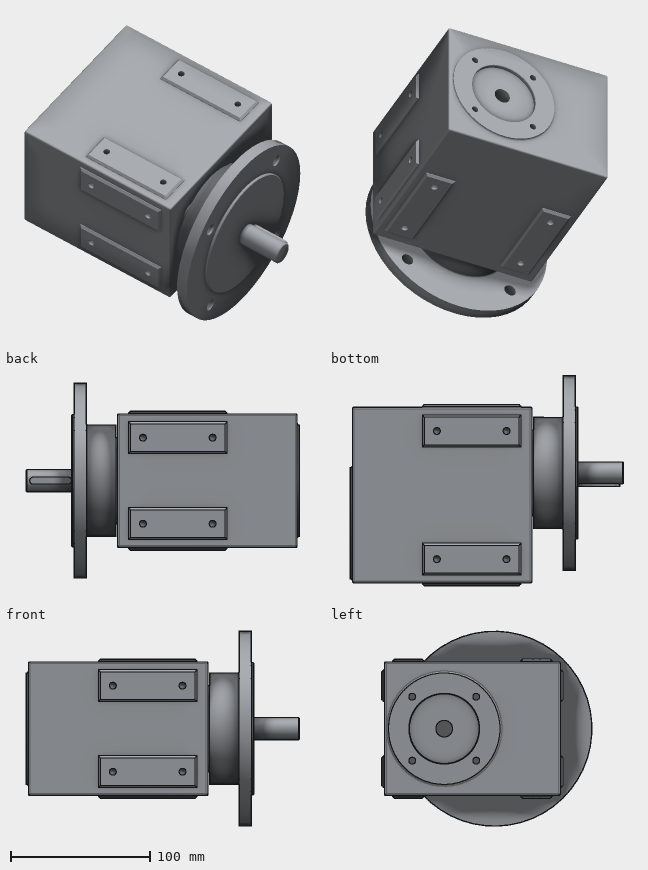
import cadquery as cq


housing_start = 1.5
housing_end = 130.5
housing_length = housing_end - housing_start
housing_width = 126.2
housing_height = 96.0
housing_center_y = 15.9
housing_edge_radius = 1.4

pad_center_x = 87.2
pad_length = 71.0
pad_width = 23.0
pad_height = 2.0
pad_chamfer = 1.5
pad_embed = 1.0
pad_spacing_across_width = 92.0
pad_spacing_across_height = 61.7
pad_hole_diameter = 4.9
pad_hole_spacing = 50.0
pad_hole_depth = 9.8
drill_tip_ratio = 0.3

input_center_y = 36.0
input_boss_diameter = 80.0
input_boss_fillet = 1.4
input_recess_diameter = 50.0
input_recess_depth = 3.0
input_recess_chamfer = 0.4
input_bore_diameter = 12.0
input_bore_depth = 19.6
input_hole_diameter = 4.9
input_hole_square = 45.9
input_hole_depth = 9.8
selection_margin = 0.2

spacer_side = 62.0
spacer_corner_radius = 8.0

neck_start = 131.7
neck_diameter = 80.0
neck_fillet = 1.0
flange_start = 152.9
flange_thickness = 8.6
flange_end = flange_start + flange_thickness
flange_diameter = 140.0
flange_hole_diameter = 9.0
flange_hole_square = 81.3
pilot_diameter = 95.0
pilot_thickness = 2.0
pilot_end = flange_end + pilot_thickness
pilot_chamfer = 0.5

shaft_end = 196.0
shaft_diameter = 16.0
shaft_chamfer = 0.5
key_start = pilot_end
key_length = 30.0
key_width = 5.0
key_top_y = 9.8


def cylinder_along_x(start, end, diameter, center_y=0):
    """Solid cylinder parallel to X, from start to end."""
    plane = cq.Workplane("YZ", origin=(start, center_y, 0))
    return plane.circle(diameter / 2).extrude(end - start)


def drill(plane, points, diameter, depth):
    """Drill bodies with conical tips; the plane normal points out of the material."""
    radius = diameter / 2
    profile = [(0, 0), (radius, 0), (radius, -depth), (0, -depth - drill_tip_ratio * diameter)]
    body = cq.Workplane("XZ").polyline(profile).close().revolve(360, (0, 0), (0, 1)).val()
    return plane.pushPoints(points).eachpoint(body, useLocalCoordinates=True)


def square_points(side, center=(0, 0)):
    """Corners of a square around center."""
    half = side / 2
    return [(center[0] + a * half, center[1] + b * half) for a in (-1, 1) for b in (-1, 1)]


def mounting_pad(plane, offset):
    """Chamfered pad and its two drills; plane x is along X, offset is along plane y."""
    blank = plane.workplane(offset=-pad_embed).center(0, offset)
    pad = blank.rect(pad_length, pad_width).extrude(pad_embed + pad_height)
    pad = pad.faces(cq.DirectionMinMaxSelector(plane.plane.zDir, True)).chamfer(pad_chamfer)
    points = [(side * pad_hole_spacing / 2, offset) for side in (-1, 1)]
    drills = drill(plane.workplane(offset=pad_height), points, pad_hole_diameter, pad_hole_depth)
    return pad, drills


housing_center_x = housing_start + housing_length / 2
body = (
    cq.Workplane("XY", origin=(housing_center_x, housing_center_y, 0))
    .box(housing_length, housing_width, housing_height)
    .edges()
    .fillet(housing_edge_radius)
)

boss = cylinder_along_x(0, housing_start + housing_edge_radius, input_boss_diameter, input_center_y)
body = body.union(boss)
boss_root = cq.selectors.BoxSelector(
    (housing_start - selection_margin, input_center_y - input_boss_diameter, -input_boss_diameter),
    (housing_start + selection_margin, input_center_y + input_boss_diameter, input_boss_diameter),
)
body = body.edges("%CIRCLE").edges(boss_root).fillet(input_boss_fillet)

body = body.cut(cylinder_along_x(0, input_recess_depth, input_recess_diameter, input_center_y))
body = body.faces("<X").edges(cq.selectors.RadiusNthSelector(0)).chamfer(input_recess_chamfer)
body = body.cut(cylinder_along_x(0, input_bore_depth, input_bore_diameter, input_center_y))
for hole_y, hole_z in square_points(input_hole_square, (input_center_y, 0)):
    hole = cylinder_along_x(0, input_hole_depth, input_hole_diameter, hole_y)
    body = body.cut(hole.translate((0, 0, hole_z)))

side_distance = housing_width / 2
top_distance = housing_height / 2
pad_faces = [
    ((0, -1, 0), side_distance, pad_spacing_across_height),
    ((0, 1, 0), side_distance, pad_spacing_across_height),
    ((0, 0, -1), top_distance, pad_spacing_across_width),
    ((0, 0, 1), top_distance, pad_spacing_across_width),
]
for normal, distance, spacing in pad_faces:
    origin = (pad_center_x, housing_center_y + normal[1] * distance, normal[2] * distance)
    face_plane = cq.Workplane(cq.Plane(origin, (1, 0, 0), normal))
    for side in (-1, 1):
        pad, drills = mounting_pad(face_plane, side * spacing / 2)
        body = body.union(pad).cut(drills)

spacer = (
    cq.Workplane("YZ", origin=(housing_end, 0, 0))
    .rect(spacer_side, spacer_side)
    .extrude(neck_start - housing_end)
    .edges("|X")
    .fillet(spacer_corner_radius)
)

flange = cylinder_along_x(flange_start, flange_end, flange_diameter)
flange = flange.union(cylinder_along_x(neck_start, flange_start, neck_diameter))
flange = flange.faces("<X[1]").edges("%CIRCLE").edges(cq.selectors.RadiusNthSelector(0)).fillet(neck_fillet)
for hole_y, hole_z in square_points(flange_hole_square):
    hole = cylinder_along_x(flange_start, flange_end, flange_hole_diameter, hole_y)
    flange = flange.cut(hole.translate((0, 0, hole_z)))

pilot = cylinder_along_x(flange_end, pilot_end, pilot_diameter).faces(">X").chamfer(pilot_chamfer)
shaft = cylinder_along_x(pilot_end, shaft_end, shaft_diameter).faces(">X").chamfer(shaft_chamfer)

key = (
    cq.Workplane("XZ", origin=(key_start + key_length / 2, 0, 0))
    .slot2D(key_length, key_width)
    .extrude(-key_top_y)
)

result = body.union(spacer).union(flange).union(pilot).union(shaft).union(key)